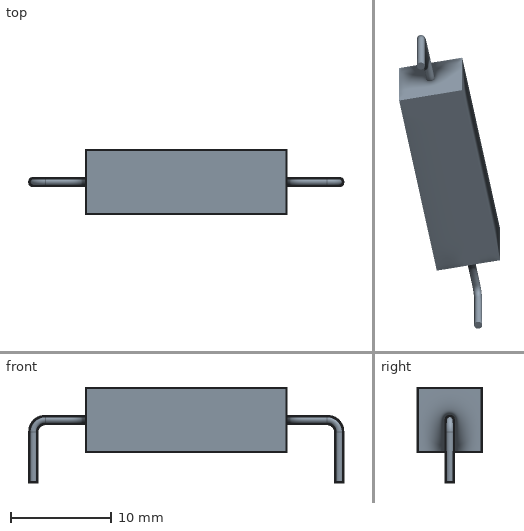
import cadquery as cq

body_length = 20.0
body_width = 6.4
body_height = 6.4

lead_pitch = 30.48
lead_diameter = 0.8
lead_bend_radius = 1.2
lead_drop = 3.0

lead_axis_height = body_height / 2


def make_body():
    """Rectangular block resting on the XY plane."""
    return cq.Workplane("XY").box(body_length, body_width, body_height, centered=(True, True, False))


def make_lead(side):
    """Round wire from the body centre outwards and down; side is -1 or +1 along X."""
    tip_x = side * lead_pitch / 2
    bend_start_x = side * (lead_pitch / 2 - lead_bend_radius)
    bend_end_z = lead_axis_height - lead_bend_radius

    centreline = (
        cq.Workplane("XZ")
        .moveTo(0, lead_axis_height)
        .lineTo(bend_start_x, lead_axis_height)
        .tangentArcPoint((tip_x, bend_end_z), relative=False)
        .lineTo(tip_x, -lead_drop)
    )
    return (
        cq.Workplane("YZ")
        .center(0, lead_axis_height)
        .circle(lead_diameter / 2)
        .sweep(centreline)
    )


result = make_body()
for lead_side in (-1, 1):
    result = result.union(make_lead(lead_side))